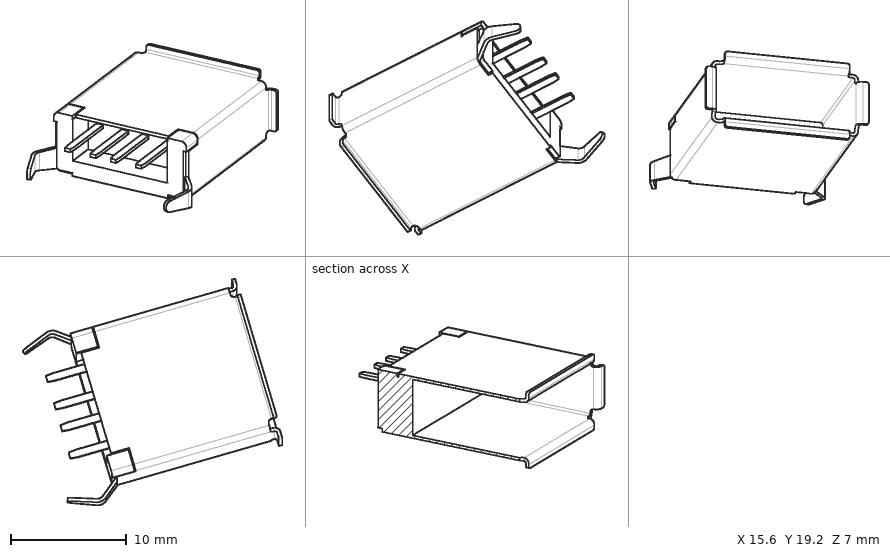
import cadquery as cq
import math


sheet = 0.3
shell_width = 13.1
shell_height = 5.72
shell_corner_radius = 0.5
shell_front = -0.83
shell_rear = -14.61

overall_height = 7.0
flange_span = 14.55
bend_inner_radius = 0.2
bend_outer_radius = bend_inner_radius + sheet
wide_flange_length = 11.14
side_flange_length = 3.9
flange_corner_radius = 0.23

housing_front = -11.52
housing_rear = -15.03
pocket_floor = -12.3
pocket_width = 9.31
pocket_bottom = -1.4

notch_front = -12.98
notch_gap = 0.1
notch_inner_x = 4.59
notch_drop = 1.0
bottom_tab_width = 9.4

pin_positions = [-3.5, -1.0, 1.0, 3.5]
pin_width = 0.67
pin_thickness = 0.3
pin_height = 1.1
pin_rear = -18.03
pin_tip_width = 0.54
pin_tip_length = 0.65

leg_rear = -19.2
leg_span = 15.6
leg_out_angle = math.radians(38)
leg_in_angle = math.radians(20)
leg_bend_radius = 0.9
leg_centre_z = -1.61
leg_root_height = 2.02
leg_bend_height = 1.65
leg_tip_height = 0.95
leg_tip_radius = 0.45

half_width = shell_width / 2
half_height = shell_height / 2
inner_width = shell_width - 2 * sheet
inner_height = shell_height - 2 * sheet
inner_half_width = inner_width / 2
inner_half_height = inner_height / 2


def box(x_range, y_range, z_range):
    """A box between the given pairs of limits."""
    limits = (x_range, y_range, z_range)
    size = [high - low for low, high in limits]
    return cq.Workplane("XY").box(*size, centered=False).translate([low for low, high in limits])


def rounded_bar(width, height, radius, front, rear):
    """A bar along Y, centred on the axis, with its four long edges rounded."""
    bar = cq.Workplane("XZ", origin=(0, front, 0)).rect(width, height).extrude(front - rear)
    return bar.edges("|Y").fillet(radius)


def mirror_x(solid):
    """The solid joined with its mirror image across X = 0."""
    return solid.union(solid.mirror("YZ"))


def make_flange(wall, length, reach):
    """A flange flaring up from a wall whose outer face is at Z = wall, as far as Z = reach."""
    inside = wall - sheet
    diagonal = math.sqrt(0.5)
    bend_z = wall + bend_inner_radius
    outer_mid = (-bend_outer_radius * (1 - diagonal), bend_z - bend_outer_radius * diagonal)
    inner_mid = (-bend_outer_radius + bend_inner_radius * diagonal, bend_z - bend_inner_radius * diagonal)
    lip = (
        cq.Workplane("YZ")
        .moveTo(-bend_outer_radius, inside)
        .threePointArc(outer_mid, (0, bend_z))
        .lineTo(0, reach)
        .lineTo(-sheet, reach)
        .lineTo(-sheet, bend_z)
        .threePointArc(inner_mid, (-bend_outer_radius, wall))
        .close()
        .extrude(length / 2, both=True)
        .edges("|Y and >Z")
        .fillet(flange_corner_radius)
    )
    root_radius = -bend_outer_radius - shell_front
    half = length / 2
    arc_x = half + root_radius * (1 - diagonal)
    arc_y = shell_front + root_radius * (1 - diagonal)
    root = (
        cq.Workplane("XY", origin=(0, 0, inside))
        .moveTo(-half - root_radius, shell_front)
        .threePointArc((-arc_x, arc_y), (-half, -bend_outer_radius))
        .lineTo(half, -bend_outer_radius)
        .threePointArc((arc_x, arc_y), (half + root_radius, shell_front))
        .close()
        .extrude(sheet)
    )
    return lip.union(root)


def make_shell():
    """The open tube with its rear notches and the four flanges."""
    tube = rounded_bar(shell_width, shell_height, shell_corner_radius, shell_front, shell_rear)
    tube = tube.cut(
        rounded_bar(inner_width, inner_height, shell_corner_radius - sheet, shell_front, shell_rear)
    )
    corner_notch = box(
        (notch_inner_x, half_width), (shell_rear, notch_front), (half_height - notch_drop, half_height)
    )
    tab_half = bottom_tab_width / 2
    tab_notch = box((-tab_half, tab_half), (shell_rear, notch_front), (-half_height, -inner_half_height))
    tube = tube.cut(mirror_x(corner_notch)).cut(tab_notch)

    wide_flange = make_flange(half_height, wide_flange_length, overall_height / 2)
    side_flange = make_flange(half_width, side_flange_length, flange_span / 2)
    for flange, angle in ((wide_flange, 0), (side_flange, 90)):
        for turn in (angle, angle + 180):
            tube = tube.union(flange.rotate((0, 0, 0), (0, 1, 0), turn))
    return tube


def make_housing():
    """The block inside the shell, the parts that reach through its notches, and the rear pocket."""
    core = rounded_bar(
        inner_width, inner_height, shell_corner_radius - sheet, housing_front, housing_rear
    )
    block_front = notch_front - notch_gap
    envelope = rounded_bar(shell_width, shell_height, shell_corner_radius, block_front, housing_rear)
    block_bottom = half_height - notch_drop + notch_gap
    corner_block = box(
        (notch_inner_x + notch_gap, half_width), (housing_rear, block_front), (block_bottom, half_height)
    )
    tab_half = bottom_tab_width / 2
    bottom_tab = box((-tab_half, tab_half), (housing_rear, notch_front), (-half_height, -inner_half_height))
    pocket = box(
        (-pocket_width / 2, pocket_width / 2), (housing_rear, pocket_floor), (pocket_bottom, inner_half_height)
    )
    return core.union(mirror_x(corner_block).intersect(envelope)).union(bottom_tab).cut(pocket)


def make_pin(x):
    """A flat pin that starts in the housing wall and narrows at its tip."""
    half = pin_width / 2
    half_tip = pin_tip_width / 2
    taper_start = pin_rear + pin_tip_length
    outline = [
        (-half, housing_front),
        (-half, taper_start),
        (-half_tip, pin_rear),
        (half_tip, pin_rear),
        (half, taper_start),
        (half, housing_front),
    ]
    pin = cq.Workplane("XY").polyline(outline).close().extrude(pin_thickness / 2, both=True)
    return pin.translate((x, 0, pin_height))


def make_leg():
    """The +X leg: a tapered strip that leaves the side wall outward, then bends back inward."""
    out_cos = math.cos(leg_out_angle)
    out_sin = math.sin(leg_out_angle)
    in_cos = math.cos(leg_in_angle)
    in_sin = math.sin(leg_in_angle)
    outer = leg_bend_radius
    inner = leg_bend_radius - sheet

    bend_x = leg_span / 2 - outer
    first_drop = (bend_x + outer * out_cos - half_width) / math.tan(leg_out_angle)
    bend_y = shell_rear - first_drop - outer * out_sin

    def on_bend(radius, cosine, sine):
        return (bend_x + radius * cosine, bend_y + radius * sine)

    outer_start = on_bend(outer, out_cos, out_sin)
    outer_end = on_bend(outer, in_cos, -in_sin)
    inner_start = on_bend(inner, out_cos, out_sin)
    inner_end = on_bend(inner, in_cos, -in_sin)
    run_y = leg_rear - outer_end[1]
    run_x = run_y * math.tan(leg_in_angle)
    inner_root_y = inner_start[1] + (inner_start[0] - inner_half_width) / math.tan(leg_out_angle)
    strip = (
        cq.Workplane("XY")
        .moveTo(inner_half_width, shell_rear)
        .lineTo(half_width, shell_rear)
        .lineTo(*outer_start)
        .threePointArc((bend_x + outer, bend_y), outer_end)
        .lineTo(outer_end[0] + run_x, leg_rear)
        .lineTo(outer_end[0] + run_x - sheet * in_cos, leg_rear + sheet * in_sin)
        .lineTo(*inner_end)
        .threePointArc((bend_x + inner, bend_y), inner_start)
        .lineTo(inner_half_width, inner_root_y)
        .close()
        .extrude(leg_root_height / 2, both=True)
    )
    taper = (
        cq.Workplane("YZ")
        .moveTo(shell_rear, -leg_root_height / 2)
        .lineTo(bend_y, -leg_bend_height / 2)
        .lineTo(leg_rear, -leg_tip_height / 2)
        .lineTo(leg_rear, leg_tip_height / 2)
        .lineTo(bend_y, leg_bend_height / 2)
        .lineTo(shell_rear, leg_root_height / 2)
        .close()
        .extrude(leg_span)
    )
    tip_edges = cq.selectors.BoxSelector(
        (0, leg_rear, -leg_root_height), (leg_span, leg_rear + sheet, leg_root_height)
    ) - cq.selectors.ParallelDirSelector(cq.Vector(0, 0, 1))
    leg = strip.intersect(taper).edges(tip_edges).fillet(leg_tip_radius)
    return leg.translate((0, 0, leg_centre_z))


result = make_shell().union(make_housing()).union(mirror_x(make_leg()))
for pin_x in pin_positions:
    result = result.union(make_pin(pin_x))